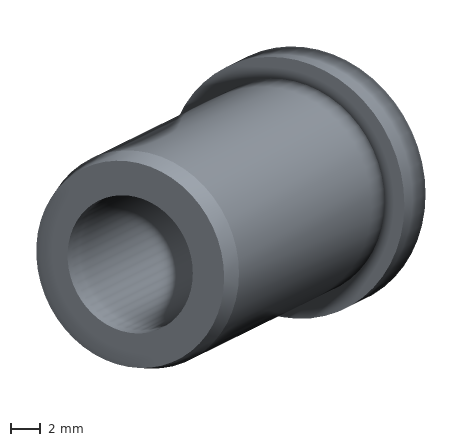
import cadquery as cq
import math

length = 25.0
flange_diameter = 18.0
flange_thickness = 3.0
body_diameter = 15.0
bore_diameter = 9.5

taper_length = 1.4
taper_angle = 15.0

flange_radius = flange_diameter / 2
body_radius = body_diameter / 2
bore_radius = bore_diameter / 2
tip_radius = body_radius - taper_length * math.tan(math.radians(taper_angle))

front_y = -length / 2
back_y = length / 2
flange_y = back_y - flange_thickness

wall_section = [
    (bore_radius, front_y),
    (tip_radius, front_y),
    (body_radius, front_y + taper_length),
    (body_radius, flange_y),
    (flange_radius, flange_y),
    (flange_radius, back_y),
    (bore_radius, back_y),
]

result = cq.Workplane("XY").polyline(wall_section).close().revolve(360, (0, 0), (0, 1))